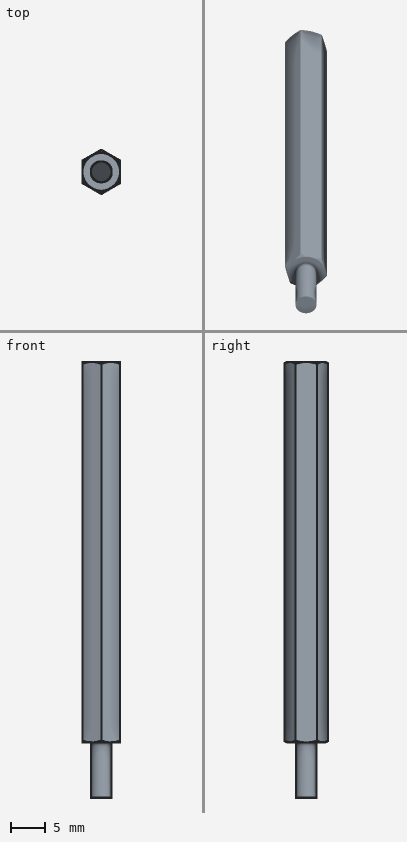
import cadquery as cq
import math

total_length = 63.0
stud_length = 8.0
across_flats = 5.5
thread_diameter = 3.0
hole_depth = 8.0
chamfer_angle = 30.0

spacer_length = total_length - stud_length
across_corners = across_flats / math.cos(math.radians(30))
chamfer_width = (across_corners - across_flats) / 2
chamfer_height = chamfer_width * math.tan(math.radians(chamfer_angle))


def make_spacer():
    """Hexagonal spacer, flats facing +X and -X, with a blind hole in its top."""
    hexagon = (
        cq.Workplane("XY")
        .polygon(6, across_corners)
        .extrude(spacer_length)
        .rotate((0, 0, 0), (0, 0, 1), 30)
    )
    trimming_bar = (
        cq.Workplane("XY")
        .circle(across_corners / 2)
        .extrude(spacer_length)
        .faces("<Z or >Z")
        .edges()
        .chamfer(chamfer_height, chamfer_width)
    )
    hole = (
        cq.Workplane("XY", origin=(0, 0, spacer_length))
        .circle(thread_diameter / 2)
        .extrude(-hole_depth)
    )
    return hexagon.intersect(trimming_bar).cut(hole)


def make_stud():
    """Round stud hanging below the spacer, with a plain lower end."""
    return (
        cq.Workplane("XY")
        .circle(thread_diameter / 2)
        .extrude(-stud_length)
    )


spacer = make_spacer()
stud = make_stud()

result = cq.Compound.makeCompound([spacer.val(), stud.val()])